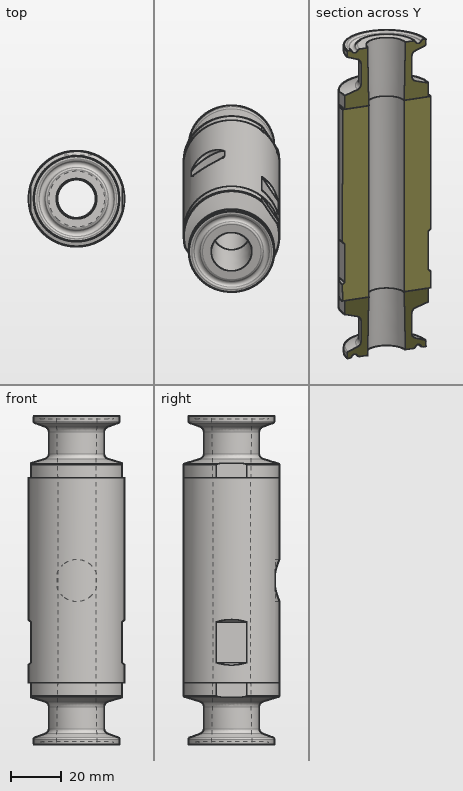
import cadquery as cq
import math

total_length = 130.0
body_radius = 38.0 / 2
housing_length = 81.0
housing_half = housing_length / 2
cap_length = (total_length - housing_length) / 2

bore_radius = 15.0 / 2
bore_mouth_radius = 16.0 / 2

flat_distance = 18.0
flat_depth = body_radius - flat_distance

recess_center_z = -24.5
recess_floor_length = 16.0

spotface_radius = 16.6 / 2
spotface_floor_y = 17.3

shoulder_slope = math.radians(17)
shoulder_rim_height = 5.45
shoulder_edge_chamfer = 0.3
neck_radius = 22.0 / 2
neck_fillet = 2.0
flange_radius = 34.0 / 2
flange_slope = math.radians(20)
flange_rim_height = 2.8
flange_under_fillet = 0.8
flange_edge_chamfer = 0.3

groove_inner_radius = 23.1 / 2
groove_outer_radius = 31.5 / 2
groove_bottom_arc = 1.3
groove_lip_arc = 1.0

selection_margin = 0.01


def make_housing():
    """Bored cylinder with two wrench recesses and a spotface."""
    housing = cq.Workplane("XY").circle(body_radius).circle(bore_radius).extrude(housing_length)
    housing = housing.translate((0, 0, -housing_half))

    floor_half = recess_floor_length / 2
    mouth_half = floor_half + flat_depth
    for side in (1, -1):
        recess = (
            cq.Workplane("XZ", origin=(0, 0, recess_center_z))
            .moveTo(side * flat_distance, -floor_half)
            .lineTo(side * body_radius, -mouth_half)
            .lineTo(side * body_radius, mouth_half)
            .lineTo(side * flat_distance, floor_half)
            .close()
            .extrude(body_radius, both=True)
        )
        housing = housing.cut(recess)

    spotface = (
        cq.Workplane("XZ", origin=(0, body_radius, 0))
        .circle(spotface_radius)
        .extrude(body_radius - spotface_floor_y)
    )
    return housing.cut(spotface)


def circle_at(radius, height):
    """Selector for the circular edges at a height that lie within a radius of the Z axis."""
    reach = radius + selection_margin
    low = (-reach, -reach, height - selection_margin)
    high = (reach, reach, height + selection_margin)
    return cq.selectors.BoxSelector(low, high, boundingbox=True)


def cap_blank():
    """Shoulder, neck and clamp flange turned about Z, standing on the joint plane."""
    shoulder_top = shoulder_rim_height + (body_radius - neck_radius) * math.tan(shoulder_slope)
    flange_corner = cap_length - flange_rim_height
    flange_bottom = flange_corner - (flange_radius - neck_radius) * math.tan(flange_slope)
    profile = (
        cq.Workplane("XZ")
        .moveTo(bore_radius, 0)
        .lineTo(body_radius, 0)
        .lineTo(body_radius, shoulder_rim_height)
        .lineTo(neck_radius, shoulder_top)
        .lineTo(neck_radius, flange_bottom)
        .lineTo(flange_radius, flange_corner)
        .lineTo(flange_radius, cap_length)
        .lineTo(bore_mouth_radius, cap_length)
        .close()
    )
    blank = profile.revolve(360, (0, 0, 0), (0, 1, 0))
    blank = blank.edges(circle_at(neck_radius, shoulder_top)).fillet(neck_fillet)
    blank = blank.edges(circle_at(neck_radius, flange_bottom)).fillet(neck_fillet)
    blank = blank.edges(circle_at(flange_radius, flange_corner)).fillet(flange_under_fillet)
    blank = blank.edges(">Z").edges(cq.selectors.RadiusNthSelector(-1)).chamfer(flange_edge_chamfer)
    return blank.edges(circle_at(body_radius, shoulder_rim_height)).chamfer(shoulder_edge_chamfer)


def gasket_groove():
    """Ring that cuts the groove; the lip arcs and the bottom arc meet tangentially."""
    center = (groove_inner_radius + groove_outer_radius) / 2
    mouth = groove_outer_radius - center
    arc_sum = groove_bottom_arc + groove_lip_arc
    arc_angle = math.asin(mouth / arc_sum)
    floor_z = cap_length - arc_sum * (1 - math.cos(arc_angle))

    lip_mid = mouth - groove_lip_arc * math.sin(arc_angle / 2)
    lip_mid_z = cap_length - groove_lip_arc * (1 - math.cos(arc_angle / 2))
    lip_end = groove_bottom_arc * math.sin(arc_angle)
    lip_end_z = cap_length - groove_lip_arc * (1 - math.cos(arc_angle))
    return (
        cq.Workplane("XZ")
        .moveTo(center - mouth, cap_length)
        .threePointArc((center - lip_mid, lip_mid_z), (center - lip_end, lip_end_z))
        .threePointArc((center, floor_z), (center + lip_end, lip_end_z))
        .threePointArc((center + lip_mid, lip_mid_z), (center + mouth, cap_length))
        .close()
        .revolve(360, (0, 0, 0), (0, 1, 0))
    )


def make_cap():
    """End cap pointing up, with its joint face on the upper end of the housing."""
    between_flats = cq.Workplane("XY").box(
        2 * flat_distance, 2 * body_radius, cap_length, centered=(True, True, False)
    )
    cap = cap_blank().cut(gasket_groove()).intersect(between_flats)
    return cap.translate((0, 0, housing_half))


housing = make_housing()
upper_cap = make_cap()
caps = [upper_cap, upper_cap.mirror("XY")]

result = cq.Compound.makeCompound([housing.val(), *[cap.val() for cap in caps]])